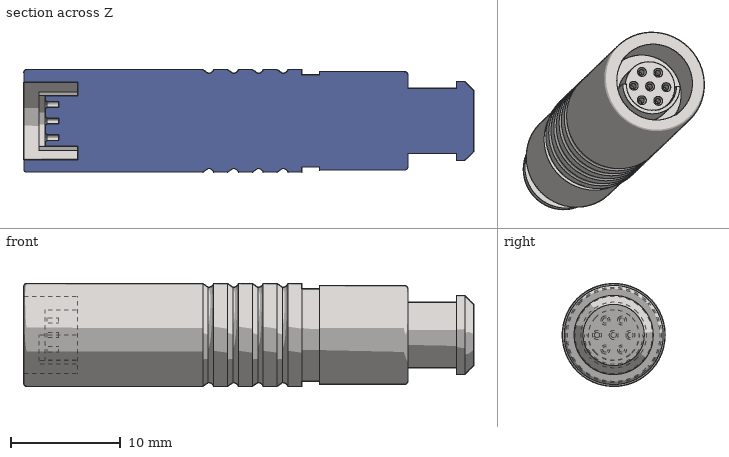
import cadquery as cq
import math

length = 41.0
sleeve_radius = 4.695
front_fillet = 0.3

groove_count = 4
groove_pitch = 2.25
first_groove_start = 16.3
groove_ramp = 0.5
groove_width = 1.0
groove_radius = 4.35
sleeve_end = 25.35

neck_radius = 4.22
nut_start = 26.95
nut_radius = 4.5
nut_end = 35.0
nut_fillet = 0.35
boot_radius = 3.0
collar_start = 39.4
collar_radius = 3.6
collar_chamfer = 0.8

socket_radius = 3.53
socket_depth = 4.9
insulator_radius = 2.3
insulator_face = 1.95
key_inner_radius = 2.35
key_outer_radius = 2.65
key_height = 0.57

contact_circle_radius = 1.5
circle_contact_count = 6
contact_mouth_radius = 0.4
contact_bore_radius = 0.25
contact_bore_depth = 1.25


def cylinder(start, end, radius):
    """Solid cylinder along X between two stations."""
    return cq.Workplane("YZ", origin=(start, 0, 0)).circle(radius).extrude(end - start)


def ring(start, end, outer_radius, inner_radius):
    """Tube along X between two stations."""
    return cylinder(start, end, outer_radius).cut(cylinder(start, end, inner_radius))


def grip_groove(start):
    """Ring-shaped cutter: straight ramp down, then a hollow arc up to the next land."""
    end = start + groove_width
    bottom = start + groove_ramp
    arc_width = end - bottom
    arc_rise = sleeve_radius - groove_radius
    arc_radius = (arc_width**2 + arc_rise**2) / (2 * arc_rise)
    half_sweep = math.atan2(arc_rise, arc_width)
    arc_middle = (
        bottom + arc_radius * math.sin(half_sweep),
        groove_radius + arc_radius * (1 - math.cos(half_sweep)),
    )
    profile = (
        cq.Workplane("XY")
        .moveTo(start, sleeve_radius)
        .lineTo(bottom, groove_radius)
        .threePointArc(arc_middle, (end, sleeve_radius))
        .close()
    )
    return profile.revolve(360, (0, 0, 0), (1, 0, 0))


def sleeve():
    body = cylinder(0, sleeve_end, sleeve_radius).faces("<X").edges().fillet(front_fillet)
    for index in range(groove_count):
        body = body.cut(grip_groove(first_groove_start + index * groove_pitch))
    return body


def rear_end():
    neck = cylinder(sleeve_end, nut_start, neck_radius)
    nut = cylinder(nut_start, nut_end, nut_radius).faces(">X").edges().fillet(nut_fillet)
    boot = cylinder(nut_end, collar_start, boot_radius)
    collar = cylinder(collar_start, length, collar_radius)
    collar = collar.faces(">X").edges().chamfer(collar_chamfer)
    return neck.union(nut).union(boot).union(collar)


def half_ring_key():
    """Half ring from the socket floor, a small gap below the insulator and proud of its face."""
    start = insulator_face - key_height
    lower_half = cq.Workplane("XY").box(
        length, 2 * socket_radius, socket_radius, centered=(True, True, False)
    ).translate((0, 0, -socket_radius))
    return ring(start, socket_depth, key_outer_radius, key_inner_radius).intersect(lower_half)


def contact_bore(y, z):
    """Cutter for one contact: a blind bore with a 45 degree countersunk mouth."""
    mouth_depth = contact_mouth_radius - contact_bore_radius
    profile = (
        cq.Workplane("XY")
        .moveTo(insulator_face, 0)
        .lineTo(insulator_face, contact_mouth_radius)
        .lineTo(insulator_face + mouth_depth, contact_bore_radius)
        .lineTo(insulator_face + contact_bore_depth, contact_bore_radius)
        .lineTo(insulator_face + contact_bore_depth, 0)
        .close()
    )
    return profile.revolve(360, (0, 0, 0), (1, 0, 0)).translate((0, y, z))


result = sleeve().union(rear_end())
result = result.cut(cylinder(0, socket_depth, socket_radius))

result = result.union(cylinder(insulator_face, socket_depth, insulator_radius))
result = result.union(half_ring_key())

result = result.cut(contact_bore(0, 0))
for index in range(circle_contact_count):
    angle = math.radians(index * 360 / circle_contact_count)
    y = contact_circle_radius * math.cos(angle)
    z = contact_circle_radius * math.sin(angle)
    result = result.cut(contact_bore(y, z))